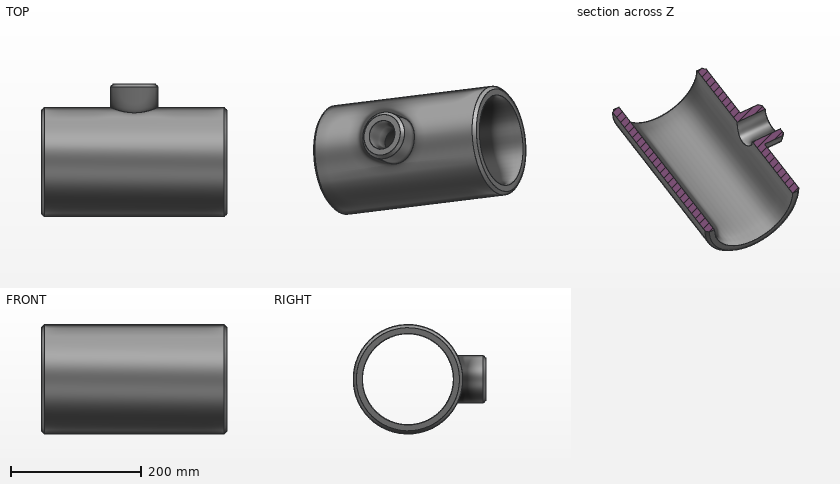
import cadquery as cq

pipe_length = 285.5
pipe_diameter = 168.5
wall = 14.3
end_chamfer = 4.9

branch_diameter = 73.5
branch_reach = 120.5


def main_body():
    """Solid cylinder along X with both rims chamfered."""
    return (
        cq.Workplane("YZ")
        .circle(pipe_diameter / 2)
        .extrude(pipe_length / 2, both=True)
        .faces("<X or >X")
        .chamfer(end_chamfer)
    )


def branch_body():
    """Solid cylinder along +Y with its free rim chamfered."""
    return (
        cq.Workplane("XZ")
        .circle(branch_diameter / 2)
        .extrude(-branch_reach)
        .faces(">Y")
        .chamfer(end_chamfer)
    )


def bores():
    """Through bore of the pipe joined by the branch bore, leaving the same wall in both."""
    pipe_bore = cq.Workplane("YZ").circle(pipe_diameter / 2 - wall).extrude(pipe_length / 2, both=True)
    branch_bore = cq.Workplane("XZ").circle(branch_diameter / 2 - wall).extrude(-branch_reach)
    return pipe_bore.union(branch_bore)


result = main_body().union(branch_body()).cut(bores())